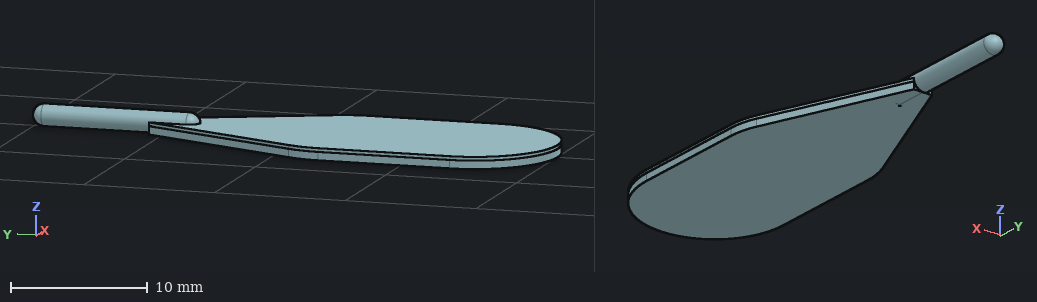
import cadquery as cq
import math

blade_radius = 6.35
shoulder_y = 16.4
tip_y = 31.05

blade_thickness = 0.92
facing_thickness = 0.3
core_thickness = blade_thickness - facing_thickness

total_length = 40.15
handle_radius = 0.85
handle_length = 12.75
shaft_length = handle_length - 2 * handle_radius
shaft_start_y = total_length - handle_length + handle_radius
shaft_end_y = shaft_start_y + shaft_length

tip_half_width = handle_radius

taper_rise = tip_y - shoulder_y
taper_angle = math.atan2(taper_rise, tip_half_width) - math.acos(
    blade_radius / math.hypot(tip_half_width, taper_rise)
)


def shoulder_point(angle):
    """Point on the right shoulder arc, centred on the blade's middle line."""
    return blade_radius * math.cos(angle), shoulder_y + blade_radius * math.sin(angle)


def mirrored(point):
    return -point[0], point[1]


def blade_layer(bottom_z, thickness):
    taper_start = shoulder_point(taper_angle)
    shoulder_middle = shoulder_point(taper_angle / 2)
    return (
        cq.Workplane("XY", origin=(0, 0, bottom_z))
        .moveTo(-blade_radius, blade_radius)
        .threePointArc((0, 0), (blade_radius, blade_radius))
        .lineTo(blade_radius, shoulder_y)
        .threePointArc(shoulder_middle, taper_start)
        .lineTo(tip_half_width, tip_y)
        .lineTo(-tip_half_width, tip_y)
        .lineTo(*mirrored(taper_start))
        .threePointArc(mirrored(shoulder_middle), (-blade_radius, shoulder_y))
        .close()
        .extrude(thickness)
    )


def round_ended_handle():
    handle = (
        cq.Workplane("XZ", origin=(0, shaft_start_y, handle_radius))
        .circle(handle_radius)
        .extrude(-shaft_length)
    )
    for end_y in (shaft_start_y, shaft_end_y):
        end_ball = cq.Workplane("XY", origin=(0, end_y, handle_radius)).sphere(handle_radius)
        handle = handle.union(end_ball)
    return handle


handle = round_ended_handle()

core = blade_layer(0, core_thickness).cut(handle)
facing = blade_layer(core_thickness, facing_thickness).cut(handle)

result = cq.Compound.makeCompound([core.val(), facing.val(), handle.val()])